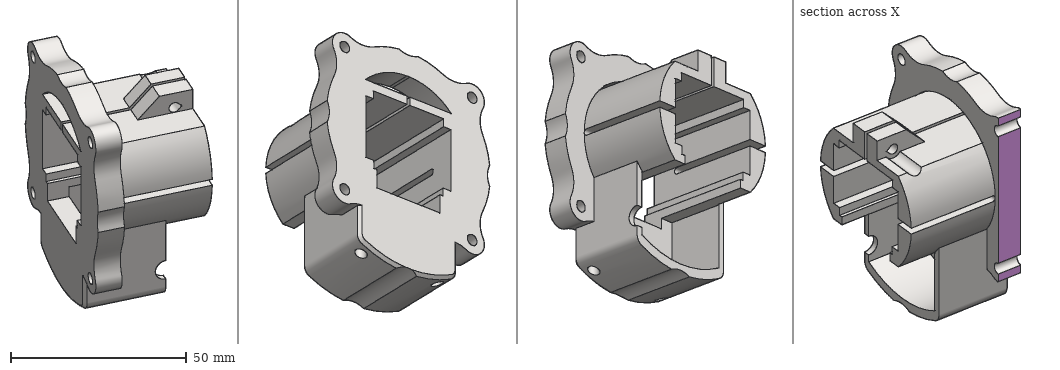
import cadquery as cq
import math

total_height = 71.6

flange_thickness = 8.0
lobe_radius = 30.0
hole_offset = 23.35
hole_diameter = 3.5
ear_radius = 4.5
blend_radius = 10.0
notch_radius = 8.0
flange_notch_floor = 29.0

total_depth = 37.7
barrel_radius = 22.0
flat_height = 15.4
clamp_gap = 1.1
side_slot_width = 2.0

bore_half_width = 15.55
bore_half_height = 12.7
bore_side_half_height = 10.1
upper_step_half_width = 12.9
lower_step_half_width = 12.7
channel_half_width = 11.6
channel_floor = -18.7

lug_left = -5.45
lug_right = 6.15
lug_top_length = 10.25
screw_hole_diameter = 3.2
screw_setback = 5.65
screw_height = 17.1
head_groove_radius = 3.0

box_half_width = 18.0
box_depth = 25.0
bottom_radius = 37.25
box_notch_half_width = 3.7
corner_radius = 3.0
front_chamfer = 1.0
side_wall = 2.0
bottom_wall = 3.0
front_wall = 6.6
cable_radius = 3.15
cable_height = -29.6
pin_hole_diameter = 3.5
pin_hole_x = 14.0
pin_hole_y = 4.2
pin_hole_depth = 5.7

flange_notch_center = flange_notch_floor + notch_radius
flange_top = (lobe_radius**2 + flange_notch_center**2 - notch_radius**2) / (2 * flange_notch_center)
box_bottom = flange_top - total_height

box_notch_center = box_bottom - math.sqrt(notch_radius**2 - box_notch_half_width**2)
bottom_center = box_bottom + math.sqrt(bottom_radius**2 - box_notch_half_width**2)


def slab(y_start, y_end):
    """Sketch plane in XZ at y_start, plus the signed extrusion along its -Y normal that reaches y_end."""
    plane = cq.Workplane("XZ", origin=(0, y_start, 0))
    return plane, y_start - y_end


def block(x0, x1, y0, y1, z0, z1):
    return cq.Workplane("XY").box(x1 - x0, y1 - y0, z1 - z0, centered=False).translate((x0, y0, z0))


def disc(x, z, radius, y_start, y_end):
    plane, distance = slab(y_start, y_end)
    return plane.center(x, z).circle(radius).extrude(distance)


def blend_center():
    """Centre of the blend circle above the diagonal, touching a lobe and an ear."""
    lobe_reach = lobe_radius + blend_radius
    ear_reach = ear_radius + blend_radius
    ear_distance = hole_offset * math.sqrt(2)
    along = (lobe_reach**2 - ear_reach**2 + ear_distance**2) / (2 * ear_distance)
    across = math.sqrt(lobe_reach**2 - along**2)
    return (along - across) / math.sqrt(2), (along + across) / math.sqrt(2)


def make_flange():
    """Scalloped plate with four eared screw holes, lobe notches and a window above the barrel."""
    bx, bz = blend_center()
    lobe_share = lobe_radius / (lobe_radius + blend_radius)
    ear_share = ear_radius / (ear_radius + blend_radius)
    lobe_touch = (bx * lobe_share, bz * lobe_share)
    ear_touch = (
        hole_offset + (bx - hole_offset) * ear_share,
        hole_offset + (bz - hole_offset) * ear_share,
    )
    blend_bottom = (bx, bz - blend_radius)
    ear_tip = (hole_offset + ear_radius / math.sqrt(2),) * 2

    def turned(point, quarter):
        x, z = point
        for _ in range(quarter):
            x, z = z, -x
        return x, z

    def mirrored(point):
        return -point[0], point[1]

    def swapped(point):
        return point[1], point[0]

    plane, distance = slab(0, flange_thickness)
    outline = plane.moveTo(*mirrored(lobe_touch))
    for quarter in range(4):
        for middle, end in (
            ((0, lobe_radius), lobe_touch),
            (blend_bottom, ear_touch),
            (ear_tip, swapped(ear_touch)),
            (swapped(blend_bottom), swapped(lobe_touch)),
        ):
            outline = outline.threePointArc(turned(middle, quarter), turned(end, quarter))
    flange = outline.close().extrude(distance)

    for quarter in range(4):
        x, z = turned((0, flange_notch_center), quarter)
        flange = flange.cut(disc(x, z, notch_radius, 0, flange_thickness))
    for x in (-hole_offset, hole_offset):
        for z in (-hole_offset, hole_offset):
            flange = flange.cut(disc(x, z, hole_diameter / 2, 0, flange_thickness))

    window = disc(0, 0, barrel_radius, 0, flange_thickness)
    above_flat = block(-barrel_radius, barrel_radius, 0, flange_thickness, flat_height, barrel_radius)
    return flange.cut(window.intersect(above_flat))


def make_barrel():
    """Solid round barrel flattened above and below."""
    tube = disc(0, 0, barrel_radius, 0, total_depth)
    return tube.intersect(block(-barrel_radius, barrel_radius, 0, total_depth, -flat_height, flat_height))


def make_lugs():
    """Clamp block on the upper flat with a 45 degree front face."""
    rise = barrel_radius - flat_height
    top_front = total_depth - lug_top_length
    return (
        cq.Workplane("YZ", origin=(lug_left, 0, 0))
        .moveTo(total_depth, bore_half_height)
        .lineTo(total_depth, barrel_radius)
        .lineTo(top_front, barrel_radius)
        .lineTo(top_front - rise, flat_height)
        .lineTo(top_front - rise, bore_half_height)
        .close()
        .extrude(lug_right - lug_left)
    )


def make_box():
    """Solid box under the barrel with a curved, notched bottom and a chamfered front edge."""
    top = -math.sqrt(barrel_radius**2 - box_half_width**2)
    side_end = bottom_center - math.sqrt(bottom_radius**2 - box_half_width**2)
    plane, distance = slab(0, box_depth)
    box = (
        plane.moveTo(-box_half_width, top)
        .lineTo(-box_half_width, side_end)
        .threePointArc((0, bottom_center - bottom_radius), (box_half_width, side_end))
        .lineTo(box_half_width, top)
        .close()
        .extrude(distance)
        .edges("|Y and (not >Z)")
        .fillet(corner_radius)
        .faces("<Y")
        .edges("not >Z")
        .chamfer(front_chamfer)
    )
    return box.cut(disc(0, box_notch_center, notch_radius, 0, box_depth))


def make_box_cavity():
    """Hollow of the box, open at the rear, with walls parallel to the outside."""
    half_width = box_half_width - side_wall
    floor_radius = bottom_radius - bottom_wall
    side_end = bottom_center - math.sqrt(floor_radius**2 - half_width**2)
    plane, distance = slab(front_wall, box_depth)
    return (
        plane.moveTo(-half_width, -flat_height)
        .lineTo(-half_width, side_end)
        .threePointArc((0, bottom_center - floor_radius), (half_width, side_end))
        .lineTo(half_width, -flat_height)
        .close()
        .extrude(distance)
    )


def make_bore():
    """Stepped opening through the whole depth, with a channel at its bottom."""
    plane, distance = slab(0, total_depth)
    right_side = [
        (upper_step_half_width, bore_half_height),
        (upper_step_half_width, bore_side_half_height),
        (bore_half_width, bore_side_half_height),
        (bore_half_width, -bore_side_half_height),
        (lower_step_half_width, -bore_side_half_height),
        (lower_step_half_width, -bore_half_height),
        (channel_half_width, -bore_half_height),
        (channel_half_width, channel_floor),
    ]
    left_side = [(-x, z) for x, z in reversed(right_side)]
    return plane.polyline(right_side + left_side).close().extrude(distance)


def make_clamp_cuts():
    """Saw cut through the top, and side slots with rounded ends at the flange."""
    gap = block(-clamp_gap / 2, clamp_gap / 2, 0, total_depth, 0, barrel_radius)
    end_radius = side_slot_width / 2
    slot_end = flange_thickness + end_radius
    slot = block(-barrel_radius, barrel_radius, slot_end, total_depth, -end_radius, end_radius)
    slot_round = (
        cq.Workplane("YZ", origin=(-barrel_radius, slot_end, 0)).circle(end_radius).extrude(2 * barrel_radius)
    )
    return gap.union(slot).union(slot_round)


def make_screw_passage():
    """Teardrop hole through the lugs, with a round clearance groove on the left for the screw head."""
    screw_y = total_depth - screw_setback
    radius = screw_hole_diameter / 2
    tangent = radius / math.sqrt(2)
    span = lug_right - lug_left
    hole = (
        cq.Workplane("YZ", origin=(lug_left, screw_y, screw_height))
        .moveTo(tangent, tangent)
        .threePointArc((-radius, 0), (tangent, -tangent))
        .lineTo(radius * math.sqrt(2), 0)
        .close()
        .extrude(span)
    )
    groove = (
        cq.Workplane("YZ", origin=(-barrel_radius, screw_y, screw_height))
        .circle(head_groove_radius)
        .extrude(barrel_radius + lug_left)
    )
    return hole.union(groove)


def make_box_holes():
    """Half-round cable cutout in the rear edge of the right wall and two blind pin holes in the bottom."""
    cable = (
        cq.Workplane("YZ", origin=(box_half_width - side_wall, box_depth, cable_height))
        .circle(cable_radius)
        .extrude(side_wall)
    )
    pins = (
        cq.Workplane("XY", origin=(0, pin_hole_y, box_bottom))
        .pushPoints([(-pin_hole_x, 0), (pin_hole_x, 0)])
        .circle(pin_hole_diameter / 2)
        .extrude(pin_hole_depth)
    )
    return cable.union(pins)


result = make_flange()
for solid in (make_barrel(), make_lugs(), make_box()):
    result = result.union(solid)
for tool in (make_box_cavity(), make_bore(), make_clamp_cuts(), make_screw_passage(), make_box_holes()):
    result = result.cut(tool)